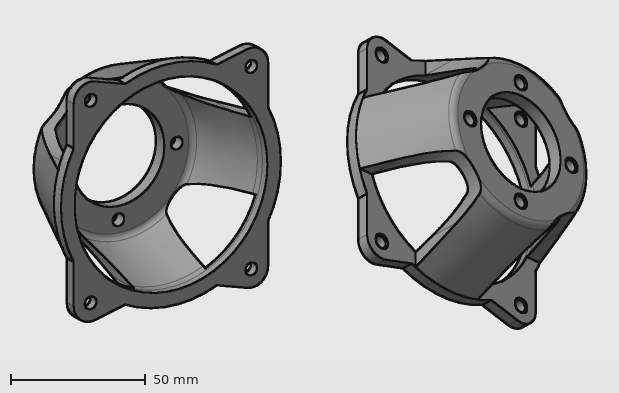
import cadquery as cq
import math

total_length = 43.2
outer_radius = 48.0
flange_thickness = 5.0
flange_front = total_length - flange_thickness

quarter_turns = 4

nose_radius = 33.8
nose_thickness = 6.0
nose_edge_fillet = 3.0
inner_corner_fillet = 2.5
flange_bore_blend = 10.0
nose_bore_radius = 20.0
inner_nose_radius = 32.4
flange_bore_radius = 42.0

hole_radius = 2.5
hole_chamfer = 0.6
nose_hole_offset = 25.4
flange_hole_y = 35.0
flange_hole_z = 40.0

tab_radius = 7.4
tab_tip_y = 20.0

window_edge_y = 13.2
window_edge_z = 18.0
window_corner_radius = 22.0


def conical_shell():
    """Nose plate, cone wall and flange ring, revolved about X."""
    shell = (
        cq.Workplane("XY")
        .moveTo(0, nose_bore_radius)
        .lineTo(0, nose_radius)
        .lineTo(flange_front, outer_radius)
        .lineTo(total_length, outer_radius)
        .lineTo(total_length, flange_bore_radius)
        .lineTo(flange_front, flange_bore_radius)
        .lineTo(nose_thickness, inner_nose_radius)
        .lineTo(nose_thickness, nose_bore_radius)
        .close()
        .revolve(360, (0, 0, 0), (1, 0, 0))
    )
    inner_edge = cq.selectors.RadiusNthSelector(0)
    outer_edge = cq.selectors.RadiusNthSelector(1)
    shell = shell.faces("<X").edges(outer_edge).fillet(nose_edge_fillet)
    nose_back = cq.selectors.CenterNthSelector(cq.Vector(1, 0, 0), 1)
    shell = shell.faces("%PLANE").faces(nose_back).edges(outer_edge).fillet(inner_corner_fillet)

    bore_start = cq.selectors.CenterNthSelector(cq.Vector(1, 0, 0), -2)
    return shell.edges("%CIRCLE").edges(bore_start).edges(inner_edge).fillet(flange_bore_blend)


def window_cutter():
    """Quadrant with one rounded corner, running from the nose to the flange."""
    corner_y = window_edge_y + window_corner_radius
    corner_z = window_edge_z + window_corner_radius
    far = 2 * outer_radius
    arc_inset = window_corner_radius * (1 - math.sqrt(0.5))
    return (
        cq.Workplane("YZ")
        .moveTo(window_edge_y, far)
        .lineTo(window_edge_y, corner_z)
        .threePointArc(
            (window_edge_y + arc_inset, window_edge_z + arc_inset),
            (corner_y, window_edge_z),
        )
        .lineTo(far, window_edge_z)
        .lineTo(far, far)
        .close()
        .extrude(flange_front)
    )


def corner_tab():
    """Tab around one flange hole, with an upright side and a sloping top."""
    tip_z = math.sqrt(outer_radius**2 - tab_tip_y**2)
    side_y = flange_hole_y + tab_radius
    side_z = math.sqrt(outer_radius**2 - side_y**2)

    offset_y = tab_tip_y - flange_hole_y
    offset_z = tip_z - flange_hole_z
    reach = math.hypot(offset_y, offset_z)
    touch_angle = math.atan2(offset_z, offset_y) - math.acos(tab_radius / reach)
    middle_angle = touch_angle / 2

    def on_round_end(angle):
        return (
            flange_hole_y + tab_radius * math.cos(angle),
            flange_hole_z + tab_radius * math.sin(angle),
        )

    return (
        cq.Workplane("YZ", origin=(flange_front, 0, 0))
        .moveTo(tab_tip_y, tip_z)
        .lineTo(*on_round_end(touch_angle))
        .threePointArc(on_round_end(middle_angle), on_round_end(0))
        .lineTo(side_y, side_z)
        .close()
        .extrude(flange_thickness)
    )


def hole_cutter(front, depth):
    """Screw hole along X with a 45 degree chamfer on its front edge."""
    return (
        cq.Workplane("XY")
        .moveTo(front, 0)
        .lineTo(front, hole_radius + hole_chamfer)
        .lineTo(front + hole_chamfer, hole_radius)
        .lineTo(front + depth, hole_radius)
        .lineTo(front + depth, 0)
        .close()
        .revolve(360, (0, 0, 0), (1, 0, 0))
    )


result = conical_shell()

nose_hole = hole_cutter(0, nose_thickness).translate((0, 0, nose_hole_offset))
window = window_cutter()
for index in range(quarter_turns):
    angle = 360 / quarter_turns * index
    result = result.cut(window.rotate((0, 0, 0), (1, 0, 0), angle))
    result = result.cut(nose_hole.rotate((0, 0, 0), (1, 0, 0), angle))

upper_tab = corner_tab()
upper_tabs = upper_tab.union(upper_tab.mirror("XZ"))
result = result.union(upper_tabs).union(upper_tabs.mirror("XY"))

flange_hole = hole_cutter(flange_front, flange_thickness)
for y in (-flange_hole_y, flange_hole_y):
    for z in (-flange_hole_z, flange_hole_z):
        result = result.cut(flange_hole.translate((0, y, z)))